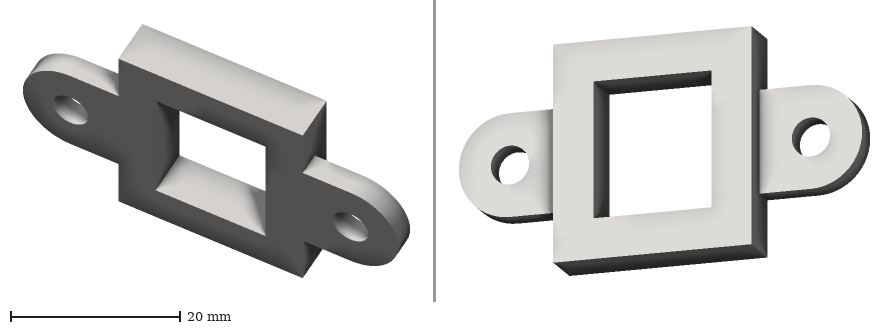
import cadquery as cq

window_width = 14.7
window_height = 16.8
frame_wall = 5.0
frame_depth = 6.0
frame_width = window_width + 2 * frame_wall
frame_height = window_height + 2 * frame_wall

hole_diameter = 4.76
hole_spacing = 37.5
ear_wall = 4.0
ear_depth = 3.0
ear_diameter = hole_diameter + 2 * ear_wall


def front_plane():
    """Workplane on the front face; extruding by a negative depth goes toward +Y."""
    return cq.Workplane("XZ")


def make_frame():
    """Solid block that the window is later cut from."""
    return front_plane().rect(frame_width, frame_height).extrude(-frame_depth)


def make_ears():
    """One round-ended bar that forms both ears and runs through the frame between them."""
    overall_length = hole_spacing + ear_diameter
    return front_plane().slot2D(overall_length, ear_diameter).extrude(-ear_depth)


def make_window():
    """Rectangular opening through the full depth of the frame."""
    return front_plane().rect(window_width, window_height).extrude(-frame_depth)


def make_ear_holes():
    """Screw holes concentric with the rounded ear ends."""
    half_spacing = hole_spacing / 2
    centers = [(-half_spacing, 0), (half_spacing, 0)]
    return front_plane().pushPoints(centers).circle(hole_diameter / 2).extrude(-ear_depth)


result = make_frame().union(make_ears()).cut(make_window()).cut(make_ear_holes())